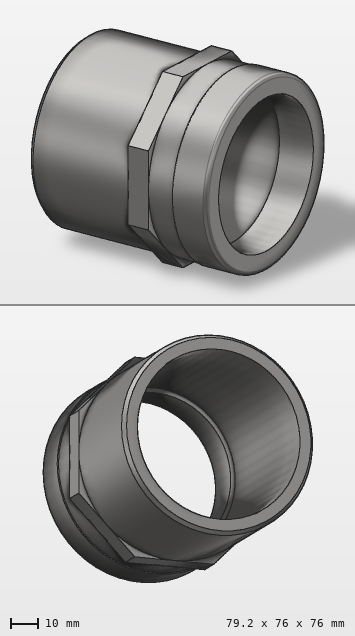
import cadquery as cq

total_length = 79.2
body_diameter = 75.0
collar_diameter = 76.0
collar_start = 64.1

bore_diameter = 60.3
socket_diameter = 63.8
socket_depth = collar_start

flat_count = 8
band_start = 44.0
band_width = 9.1

body_chamfer_length = 1.7
body_chamfer_drop = 1.3

collar_round_radius = 1.5


def cylinder(start, length, diameter):
    """Cylinder around the X axis from X = start."""
    return cq.Workplane("YZ", origin=(start, 0, 0)).circle(diameter / 2).extrude(length)


def make_outer_shell():
    """Body and raised collar, revolved with one end chamfered and the other rounded."""
    body_radius = body_diameter / 2
    collar_radius = collar_diameter / 2
    profile = (
        cq.Workplane("XY")
        .moveTo(0, 0)
        .lineTo(0, body_radius - body_chamfer_drop)
        .lineTo(body_chamfer_length, body_radius)
        .lineTo(collar_start, body_radius)
        .lineTo(collar_start, collar_radius)
        .lineTo(total_length - collar_round_radius, collar_radius)
        .radiusArc((total_length, collar_radius - collar_round_radius), collar_round_radius)
        .lineTo(total_length, 0)
        .close()
    )
    return profile.revolve(360, (0, 0, 0), (1, 0, 0))


def make_wrench_band():
    """Octagonal band with flats facing the Y and Z directions."""
    return (
        cq.Workplane("YZ", origin=(band_start, 0, 0))
        .polygon(flat_count, body_diameter, circumscribed=True)
        .extrude(band_width)
    )


outer = make_outer_shell().union(make_wrench_band())
bore = cylinder(0, total_length, bore_diameter)
socket = cylinder(0, socket_depth, socket_diameter)
result = outer.cut(bore).cut(socket)